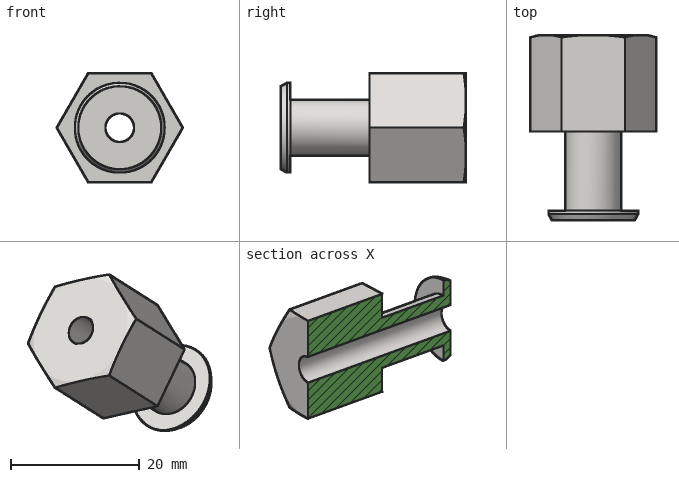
import cadquery as cq
import math

total_length = 28.8
across_flats = 17.0
hex_length = 15.0
crown_angle = 15.0
shank_diameter = 8.75
flange_diameter = 14.0
flange_face_diameter = 12.9
flange_thickness = 1.5
flange_rim = 0.5
bore_diameter = 4.4

across_corners = across_flats / math.cos(math.radians(30))
hex_start = total_length - hex_length


def revolve_about_y(points):
    """Revolve a closed (radius, y) outline about the Y axis."""
    return cq.Workplane("XY").polyline(points).close().revolve(360, (0, 0, 0), (0, 1, 0))


def hexagon_head():
    """Hexagon with corners on X, its far end trimmed by a shallow cone."""
    prism = (
        cq.Workplane("XZ", origin=(0, total_length, 0))
        .polygon(6, across_corners)
        .extrude(hex_length)
    )
    corner_radius = across_corners / 2
    end_radius = across_flats / 2
    crown_depth = (corner_radius - end_radius) * math.tan(math.radians(crown_angle))
    envelope = revolve_about_y([
        (0, hex_start),
        (corner_radius, hex_start),
        (corner_radius, total_length - crown_depth),
        (end_radius, total_length),
        (0, total_length),
    ])
    return prism.intersect(envelope)


def flanged_shank():
    """Round shank ending in a flange with a tapered edge."""
    return revolve_about_y([
        (0, 0),
        (flange_face_diameter / 2, 0),
        (flange_diameter / 2, flange_thickness - flange_rim),
        (flange_diameter / 2, flange_thickness),
        (shank_diameter / 2, flange_thickness),
        (shank_diameter / 2, hex_start),
        (0, hex_start),
    ])


def through_bore():
    """Cylinder along the whole axis of the part."""
    return cq.Workplane("XZ").circle(bore_diameter / 2).extrude(-total_length)


result = hexagon_head().union(flanged_shank()).cut(through_bore())